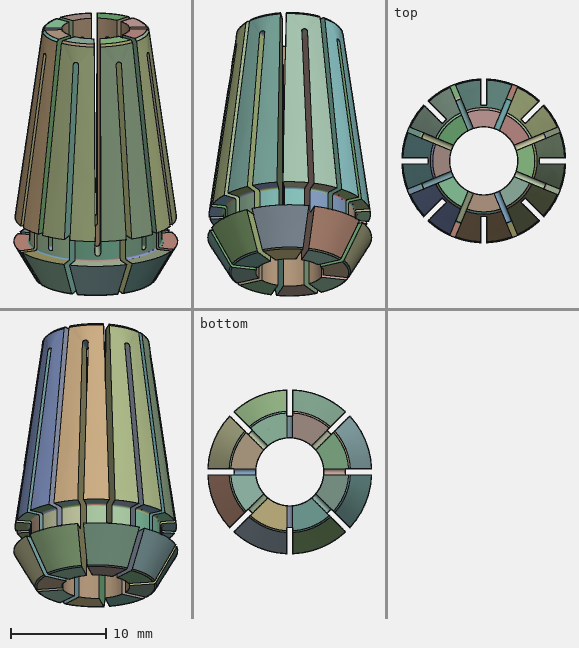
import cadquery as cq
import math

length = 27.5
bore_diameter = 7.14

head_radius = 8.625
head_height = 4.0
head_angle = 30.0
head_edge_chamfer = 0.12

groove_radius = 6.95
groove_top = 6.7
groove_fillet = 0.2

taper_radius = 8.5
taper_angle = 8.0
nose_chamfer = 0.25

slots_per_set = 8
slot_width = 0.62
lower_slot_end = 25.5
upper_slot_end = 4.6

slot_pitch = 360.0 / slots_per_set
slot_reach = 2.0 * head_radius
slot_overrun = 1.0


def taper_radius_at(z):
    return taper_radius - (z - groove_top) * math.tan(math.radians(taper_angle))


def make_body():
    """Revolved collet, with its corners broken by chamfers and fillets, and its bore."""
    bore_radius = bore_diameter / 2
    head_slope = math.tan(math.radians(head_angle))
    head_bottom_radius = head_radius - head_height * head_slope
    nose_base = length - nose_chamfer
    nose_radius = taper_radius_at(nose_base)
    arc_offset = groove_fillet * (1 - math.sqrt(0.5))

    profile = (
        cq.Workplane("XZ")
        .moveTo(bore_radius, 0)
        .lineTo(head_bottom_radius - head_edge_chamfer, 0)
        .lineTo(head_bottom_radius + head_edge_chamfer * head_slope, head_edge_chamfer)
        .lineTo(head_radius, head_height)
        .lineTo(groove_radius + groove_fillet, head_height)
        .threePointArc(
            (groove_radius + arc_offset, head_height + arc_offset),
            (groove_radius, head_height + groove_fillet),
        )
        .lineTo(groove_radius, groove_top - groove_fillet)
        .threePointArc(
            (groove_radius + arc_offset, groove_top - arc_offset),
            (groove_radius + groove_fillet, groove_top),
        )
        .lineTo(taper_radius, groove_top)
        .lineTo(nose_radius, nose_base)
        .lineTo(nose_radius - nose_chamfer, length)
        .lineTo(bore_radius, length)
        .close()
    )
    return profile.revolve(360, (0, 0, 0), (0, 1, 0))


def make_slot_cutter(closed_end, open_end, angle):
    """Radial blade on one side of the axis, with a full round along its closed end."""
    direction = math.copysign(1, open_end - closed_end)
    half_width = slot_width / 2
    round_start = closed_end + direction * half_width
    blade = (
        cq.Workplane("YZ")
        .moveTo(-half_width, open_end)
        .lineTo(-half_width, round_start)
        .threePointArc((0, closed_end), (half_width, round_start))
        .lineTo(half_width, open_end)
        .close()
        .extrude(slot_reach)
    )
    return blade.rotate((0, 0, 0), (0, 0, 1), angle)


def cut_slots(body, closed_end, open_end, first_angle):
    for index in range(slots_per_set):
        angle = first_angle + index * slot_pitch
        body = body.cut(make_slot_cutter(closed_end, open_end, angle))
    return body


collet = make_body()
collet = cut_slots(collet, lower_slot_end, -slot_overrun, 0)
collet = cut_slots(collet, upper_slot_end, length + slot_overrun, slot_pitch / 2)

result = collet